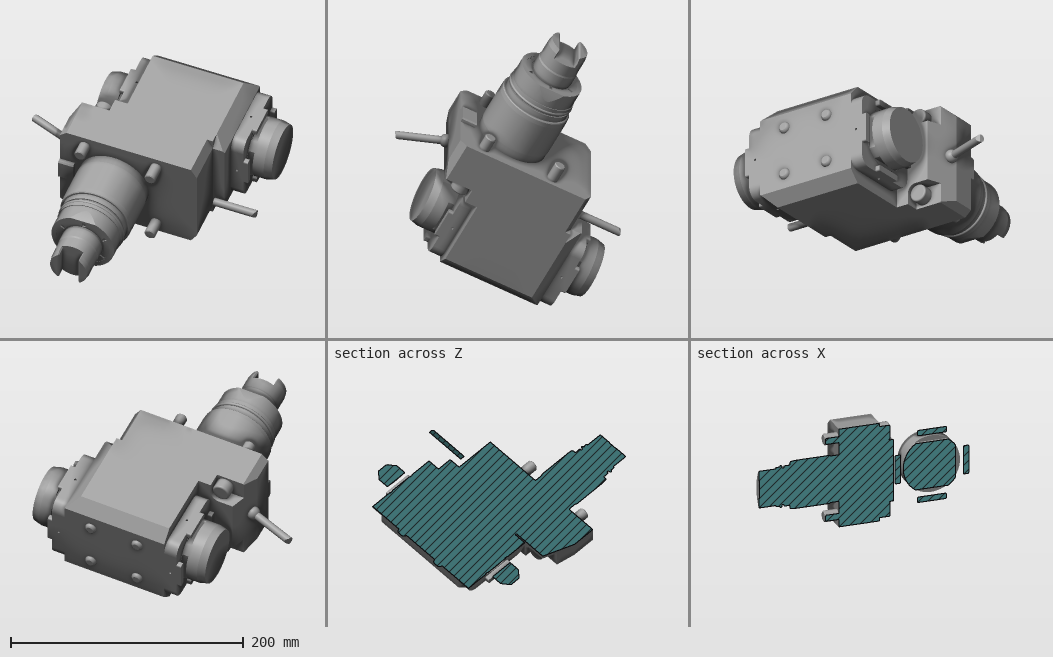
import cadquery as cq
import math


half_height = 46
flange_left = -50.2
flange_right = 76.5
shelf_y = 37.4
flange_left_chamfer_x = 6.2
flange_left_chamfer_z = 5.6
flange_right_chamfer_x = 5.4
flange_right_chamfer_z = 8.6
slope_start_y = 22.2
slope_angle = math.radians(20)

gearbox_left = -7.5
gearbox_right = 87.5
gearbox_back = 119.4
gearbox_x = (gearbox_left + gearbox_right) / 2
step_y = 50.4
side_chamfer = gearbox_right - flange_right
back_chamfer = 10.4
front_chamfer = 9.5

screw_x = (-27.1, 38.9)
screw_length = (12.4, 15.2)
screw_z = 36
screw_diameter = 10
screw_end_chamfer = 0.8
head_diameter = 16
head_height = 10
head_fillet = 1.6
pocket_right = screw_x[0] + head_diameter / 2
pocket_inner_z = screw_z - head_diameter / 2

cover_size = 68
cover_thickness = 11.7
cover_corner_radius = 10.4
cover_recess_radius = 27.5
cover_recess_depth = 0.5
cap_y = gearbox_back - cover_size / 2
cap_radius = 26.5
cap_end_radius = 24.7
cap_flats = 43.7
cap_flat_length = 5.5
cap_flat_angles = (0, 90, 270, 180)
cap_straight_end = 15.8
cap_length = 22.8
lug_length = 27
lug_depth = 5.5
lug_thickness = 4.1
lug_corner_radius = 1.5
mark_hole_diameter = 2.1
mark_hole_depth = 2
mark_hole_offset = 5.5

button_x = (18, 62)
button_z = 22
button_diameter = 10.5
button_height = 3
button_waist = (4.7, 1.7)
button_top_radius = 3.2

key_width = 20
key_length = 14
key_height = 4.2
key_chamfer = 1.2

shank_neck = (32, 7.7)
shank_radius = 32.5
shank_lead_start = 40
shank_lead_radius = 32.2
shank_end = 44.7
shank_end_chamfer = 0.7
pilot_radius = 30
groove_start = 50.2
groove_radius = 29
ring_start = 51.6
ring_end = 54.3
ring_radius = 30.5
nose_shoulder_radius = 29.7
nose_shoulder_end = 57.8
nose_radius = 29
nose_end = 73
nose_cut_start = 62.6
nose_cut_middle = (67.8, 0.97)
nose_cut_depth = 2.5
nut_radius = 24.6
nut_bore_radius = 19.7
nut_bore_depth = 1
nut_recess = 0.3
nut_slots = 6
nut_slot_width = 3
nut_slot_depth = 1.2
nut_slot_end = 24
nut_slot_turn = 2
spindle_radius = 18.5
spindle_neck_end = 74.3
spindle_step = 84.2
spindle_taper_end = 85.7
spindle_tip_radius = 18
spindle_tip_chamfer_start = 101.2
spindle_end_radius = 17
spindle_end = 106.4
drive_slot_width = 18
drive_slot_bottom = 96.4
drive_slot_chamfer = 1.3
drive_slot_flare_z = 13.5

pipe_diameter = 7
pipe_length = 39
pipe_end_chamfer = 2.8
ball_radius = 6
ball_x = -49.2
ball_y = 28.2
ball_to_pipe = 5.18
side_pipe_x = 81.2
side_pipe_y = 28.7
side_pipe_z = -21.5


def box(x_range, y_range, z_range):
    """Box between the given limits."""
    size = [high - low for low, high in (x_range, y_range, z_range)]
    return cq.Workplane().box(*size, centered=False).translate((x_range[0], y_range[0], z_range[0]))


def y_cylinder(x, z, radius, start, end):
    """Cylinder along Y from start to end, where start is the smaller y."""
    return cq.Workplane("XZ", origin=(x, end, z)).circle(radius).extrude(end - start)


def make_flange():
    """Flange with chamfered sides, a sloped left rear side and a narrower part behind it."""
    left_inner = flange_left + flange_left_chamfer_x
    left_z = half_height - flange_left_chamfer_z
    right_inner = flange_right - flange_right_chamfer_x
    right_z = half_height - flange_right_chamfer_z
    section = [
        (left_inner, -half_height), (right_inner, -half_height),
        (flange_right, -right_z), (flange_right, right_z),
        (right_inner, half_height), (left_inner, half_height),
        (flange_left, left_z), (flange_left, -left_z),
    ]
    flange = cq.Workplane("XZ").polyline(section).close().extrude(-shelf_y)
    rear = box((flange_left, gearbox_x), (shelf_y, step_y), (-half_height, half_height))
    flange = flange.union(rear)
    slope_run = (step_y - slope_start_y) * math.tan(slope_angle)
    slope = (
        cq.Workplane("XY")
        .polyline([(flange_left, slope_start_y), (flange_left, step_y), (flange_left + slope_run, step_y)])
        .close()
        .extrude(half_height, both=True)
    )
    flange = flange.cut(slope)
    for side in (-1, 1):
        pocket_z = sorted((side * pocket_inner_z, side * half_height))
        pocket = box((flange_left, pocket_right), (shelf_y, step_y), pocket_z)
        inner_edge = "|Y and >X and <Z" if side > 0 else "|Y and >X and >Z"
        pocket = pocket.edges(inner_edge).fillet(head_diameter / 2 - 0.01)
        flange = flange.cut(pocket)
    return flange


def make_gearbox():
    """Gearbox block, chamfered along its back and right edges and beside the flange."""
    gearbox = box((gearbox_left, gearbox_right), (shelf_y, gearbox_back), (-half_height, half_height))
    for side in (-1, 1):
        edge_z = side * half_height
        right_cut = (
            cq.Workplane("XZ", origin=(0, shelf_y, 0))
            .polyline([
                (flange_right, edge_z), (gearbox_right, edge_z),
                (gearbox_right, edge_z - side * side_chamfer),
            ])
            .close()
            .extrude(shelf_y - gearbox_back)
        )
        back_cut = (
            cq.Workplane("YZ", origin=(gearbox_left, 0, 0))
            .polyline([
                (gearbox_back - back_chamfer, edge_z), (gearbox_back, edge_z),
                (gearbox_back, edge_z - side * back_chamfer),
            ])
            .close()
            .extrude(gearbox_right - gearbox_left)
        )
        front_cut = (
            cq.Workplane("YZ", origin=(flange_right, 0, 0))
            .polyline([
                (shelf_y + front_chamfer, edge_z), (shelf_y, edge_z),
                (shelf_y, edge_z - side * front_chamfer),
            ])
            .close()
            .extrude(side_chamfer)
        )
        gearbox = gearbox.cut(right_cut).cut(back_cut).cut(front_cut)
    return gearbox


def make_lug():
    """Lug along the +Y side of a cover, with rounded corners."""
    lug = box((-lug_length / 2, lug_length / 2), (-lug_depth, 0), (0, lug_thickness))
    lug = lug.edges("|Z").fillet(lug_corner_radius)
    return lug.translate((0, cover_size / 2, cover_thickness))


def make_cover(flat_count):
    """Cover with four lugs and a cap, lying on the XY plane with the cap upwards.

    The neck of the cap has flat_count flats, counted from the +Y side.
    """
    cover = cq.Workplane().rect(cover_size, cover_size).extrude(cover_thickness)
    cover = cover.edges("|Z").fillet(cover_corner_radius)
    cover = cover.faces(">Z").workplane().circle(cover_recess_radius).cutBlind(-cover_recess_depth)
    neck = cq.Workplane().circle(cap_radius).extrude(cap_flat_length + cover_recess_depth)
    neck = neck.translate((0, 0, -cover_recess_depth))
    flat_cut = box((-cap_radius, cap_radius), (cap_flats / 2, cap_radius), (0, cap_flat_length))
    for side_angle in cap_flat_angles[:flat_count]:
        neck = neck.cut(flat_cut.rotate((0, 0, 0), (0, 0, 1), side_angle))
    cap = (
        cq.Workplane("XZ")
        .moveTo(0, cap_flat_length)
        .lineTo(cap_radius, cap_flat_length)
        .lineTo(cap_radius, cap_straight_end)
        .lineTo(cap_end_radius, cap_length)
        .lineTo(0, cap_length)
        .close()
        .revolve(360, (0, 0, 0), (0, 1, 0))
    )
    cover = cover.union(neck.union(cap).translate((0, 0, cover_thickness)))
    mark_hole = (
        cq.Workplane("XZ", origin=(0, cover_size / 2, mark_hole_offset))
        .circle(mark_hole_diameter / 2)
        .extrude(mark_hole_depth)
    )
    for quarter in range(4):
        turn = ((0, 0, 0), (0, 0, 1), 90 * quarter)
        cover = cover.union(make_lug().rotate(*turn)).cut(mark_hole.rotate(*turn))
    return cover


def make_shank():
    """Stepped shank and spindle, turned about the Y axis towards -Y."""
    ring_middle = (ring_start + ring_end) / 2
    neck_radius, neck_end = shank_neck
    profile = (
        cq.Workplane("XY")
        .moveTo(0, 0)
        .lineTo(neck_radius, 0)
        .lineTo(neck_radius, -neck_end)
        .lineTo(shank_radius, -neck_end)
        .lineTo(shank_radius, -shank_lead_start)
        .lineTo(shank_lead_radius, -(shank_end - shank_end_chamfer))
        .lineTo(shank_lead_radius - shank_end_chamfer, -shank_end)
        .lineTo(pilot_radius, -shank_end)
        .lineTo(pilot_radius, -groove_start)
        .lineTo(groove_radius, -groove_start)
        .lineTo(groove_radius, -ring_start)
        .threePointArc((ring_radius, -ring_middle), (groove_radius, -ring_end))
        .lineTo(nose_shoulder_radius, -ring_end)
        .lineTo(nose_shoulder_radius, -nose_shoulder_end)
        .lineTo(nose_radius, -nose_shoulder_end)
        .lineTo(nose_radius, -nose_end)
        .lineTo(nut_radius, -nose_end)
        .lineTo(nut_radius, -(nose_end - nut_recess))
        .lineTo(nut_bore_radius, -(nose_end - nut_recess))
        .lineTo(nut_bore_radius, -(nose_end - nut_bore_depth))
        .lineTo(spindle_tip_radius, -(nose_end - nut_bore_depth))
        .lineTo(spindle_tip_radius, -spindle_neck_end)
        .lineTo(spindle_radius, -spindle_neck_end)
        .lineTo(spindle_radius, -spindle_step)
        .lineTo(spindle_tip_radius, -spindle_taper_end)
        .lineTo(spindle_tip_radius, -spindle_tip_chamfer_start)
        .lineTo(spindle_end_radius, -spindle_end)
        .lineTo(0, -spindle_end)
        .close()
    )
    shank = profile.revolve(360, (0, 0, 0), (0, 1, 0))
    return cut_spindle(cut_nut_slots(cut_nose(shank)))


def cut_nose(shank):
    """Cut the two convex flats at the top and bottom of the nose."""
    middle_y, middle_depth = nose_cut_middle
    cutter = (
        cq.Workplane("YZ")
        .moveTo(-nose_cut_start, nose_radius)
        .threePointArc(
            (-middle_y, nose_radius - middle_depth),
            (-nose_end, nose_radius - nose_cut_depth),
        )
        .lineTo(-nose_end, nose_radius + 1)
        .lineTo(-nose_cut_start, nose_radius + 1)
        .close()
        .extrude(nose_radius, both=True)
    )
    return shank.cut(cutter).cut(cutter.mirror("XY"))


def cut_nut_slots(shank):
    """Cut the radial spanner slots in the nut around the spindle."""
    slot = box(
        (-nut_slot_width / 2, nut_slot_width / 2),
        (-nose_end, -(nose_end - nut_recess - nut_slot_depth)),
        (nut_bore_radius, nut_slot_end),
    )
    for index in range(nut_slots):
        angle = 360 / nut_slots * index + nut_slot_turn
        shank = shank.cut(slot.rotate((0, 0, 0), (0, 1, 0), angle))
    return shank


def cut_spindle(shank):
    """Cut the drive slot across the spindle end and chamfer all its outer edges."""
    half_width = drive_slot_width / 2
    flare = spindle_radius - drive_slot_flare_z
    corner = (half_width, drive_slot_flare_z)
    outer_corner = (half_width + flare, spindle_radius)
    section = []
    for x_sign, z_sign in ((1, 1), (1, -1), (-1, -1), (-1, 1)):
        points = [(x_sign * x, z_sign * z) for x, z in (outer_corner, corner)]
        section += points if x_sign * z_sign > 0 else points[::-1]
    slot = (
        cq.Workplane("XZ", origin=(0, -drive_slot_bottom, 0))
        .polyline(section)
        .close()
        .extrude(spindle_end - drive_slot_bottom)
    )
    mouth = (
        cq.Workplane("XY")
        .polyline([
            (-half_width - drive_slot_chamfer, -spindle_end),
            (half_width + drive_slot_chamfer, -spindle_end),
            (half_width, -spindle_end + drive_slot_chamfer),
            (-half_width, -spindle_end + drive_slot_chamfer),
        ])
        .close()
        .extrude(spindle_radius, both=True)
    )
    return shank.cut(slot).cut(mouth)


def make_front_screw(x, length):
    """End of a flange screw that stands out of the mounting face."""
    screw = y_cylinder(x, 0, screw_diameter / 2, -length, 0)
    return screw.faces("<Y").chamfer(screw_end_chamfer)


def make_key():
    """Key standing on the mounting face at its left edge."""
    key = box(
        (flange_left, flange_left + key_length),
        (-key_height, 0),
        (-key_width / 2, key_width / 2),
    )
    return key.edges("<Y and |X").chamfer(key_chamfer)


def make_button(x, z):
    """Domed button on the back face of the gearbox."""
    waist_radius, waist_height = button_waist
    button = (
        cq.Workplane("XY")
        .lineTo(button_diameter / 2, 0)
        .threePointArc((waist_radius, waist_height), (button_top_radius, button_height))
        .lineTo(0, button_height)
        .close()
        .revolve(360, (0, 0, 0), (0, 1, 0))
    )
    return button.translate((x, gearbox_back, z))


def make_pipe():
    """Coolant pipe along +X from the origin, with one side of its free end cut at 45 degrees."""
    radius = pipe_diameter / 2
    pipe = cq.Workplane("YZ").circle(radius).extrude(pipe_length)
    tip = (
        cq.Workplane("XY")
        .polyline([
            (pipe_length, -radius),
            (pipe_length - pipe_end_chamfer, -radius),
            (pipe_length, pipe_end_chamfer - radius),
        ])
        .close()
        .extrude(radius, both=True)
    )
    return pipe.cut(tip)


def make_housing():
    """Flange, gearbox, covers, shank and fixed hardware as one solid."""
    housing = make_flange().union(make_gearbox()).union(make_shank()).union(make_key())
    for side, face_x, flat_count in ((-1, gearbox_left, 3), (1, gearbox_right, 4)):
        cover = make_cover(flat_count).rotate((0, 0, 0), (0, 1, 0), 90 * side)
        housing = housing.union(cover.translate((face_x, cap_y, 0)))
    for side in (-1, 1):
        for x, length in zip(screw_x, screw_length):
            housing = housing.union(make_front_screw(x, length).translate((0, 0, side * screw_z)))
        head = y_cylinder(screw_x[0], side * screw_z, head_diameter / 2, shelf_y, shelf_y + head_height)
        housing = housing.union(head.faces(">Y").edges().fillet(head_fillet))
        for x in button_x:
            housing = housing.union(make_button(x, side * button_z))
    ball = cq.Workplane().sphere(ball_radius).translate((ball_x, ball_y, 0))
    return housing.union(ball)


pipe_angle = math.pi - slope_angle
joint_pipe_x = ball_x + ball_to_pipe * math.cos(pipe_angle)
joint_pipe_y = ball_y + ball_to_pipe * math.sin(pipe_angle)
pipe_places = [
    (joint_pipe_x, joint_pipe_y, 0, math.degrees(pipe_angle)),
    (side_pipe_x, side_pipe_y, side_pipe_z, 0),
]
pipes = [
    make_pipe().rotate((0, 0, 0), (0, 0, 1), angle).translate((x, y, z))
    for x, y, z, angle in pipe_places
]

housing = make_housing()
for pipe in pipes:
    housing = housing.cut(pipe)

result = cq.Compound.makeCompound([housing.solids().val(), *[pipe.solids().val() for pipe in pipes]])